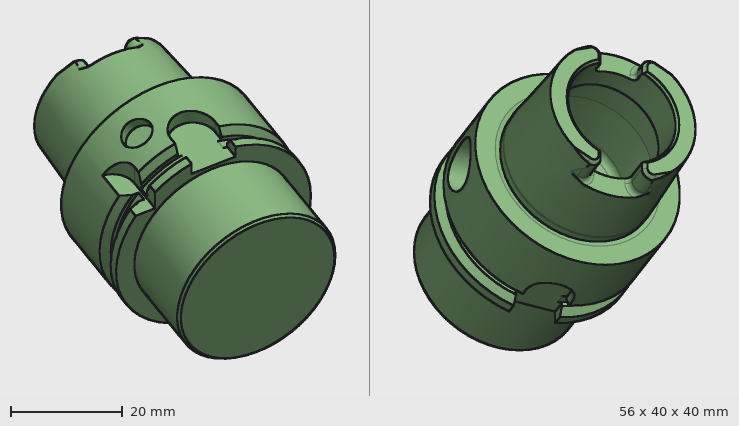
import cadquery as cq
import math


QUARTER_TURN = math.pi / 2

SHANK_LENGTH = 20.0
FLANGE_LENGTH = 20.0
NOSE_LENGTH = 16.0
FLANGE_END = SHANK_LENGTH + FLANGE_LENGTH
TOTAL_LENGTH = FLANGE_END + NOSE_LENGTH

GAUGE_RADIUS = 15.0
GAUGE_TO_FLANGE = 4.0
GAUGE_X = SHANK_LENGTH - GAUGE_TO_FLANGE
TAPER_LENGTH_PER_DIAMETER = 9.98
CONE_END = 18.4
NECK_START = 18.8
NECK_RADIUS = 15.05

FLANGE_RADIUS = 20.0
FACE_RELIEF_RADIUS = 16.1
FACE_RELIEF_ANGLE = 10.0
GROOVE_RADIUS = 17.4
GROOVE_FLOOR_START = 35.0
GROOVE_FLOOR_END = 37.0
GROOVE_SIDE_LENGTH = 1.0
GROOVE_SIDE_ANGLE = 60.0

NOSE_RADIUS = 32.5 / 2
NOSE_CHAMFER = 0.5

BORE_RADIUS = 21.0 / 2
BORE_CHAMFER = 0.5
BORE_END = 8.05
CHAMBER_RADIUS = 25.5 / 2
CHAMBER_ENTRY_ANGLE = 60.0
CHAMBER_END = 15.85
CHAMBER_TAPER = 10.0
CHAMBER_FILLET = 1.5
CHAMBER_FLOOR_RADIUS = 9.75
HOLE_RADIUS = 11.2 / 2
HOLE_CHAMFER = 0.5
HOLE_DEPTH = 10.0

SLOT_HALF_WIDTH = 8.05 / 2
UPPER_SLOT_DEPTH = 3.63
LOWER_SLOT_DEPTH = 6.0
SLOT_FLOOR_FILLET = 1.0
SLOT_END_CHAMFER = 0.75
SHOULDER_RADIUS = 1.83
SHOULDER_CENTER_Z = 11.05
SHOULDER_SLOPE = 25.0
SLOT_CUTTER_BASE_Z = 5.0

KEYWAY_RADIUS = 4.5
KEYWAY_CENTER_X = 32.5
KEYWAY_FLOOR = 17.0
NOTCH_WALL = 12.0
NOTCH_FLOOR = 12.0

RADIAL_HOLE_X = 27.0
INDEX_HOLE_DIAMETER = 6.0
INDEX_HOLE_ANGLE = 25.0
INDEX_HOLE_DEPTH = 2.35
CHIP_HOLE_DIAMETER = 10.0
CHIP_HOLE_ANGLE = -90.0
CHIP_HOLE_DEPTH = 4.6


def turned(profile):
    """Revolve a closed (x, radius) profile about the X axis."""
    return profile.close().revolve(360, (0, 0, 0), (1, 0, 0))


def cone_radius(x):
    """Radius of the shank cone at position x."""
    return GAUGE_RADIUS + (x - GAUGE_X) / (2 * TAPER_LENGTH_PER_DIAMETER)


def make_body():
    """Outer shape: shank cone, neck, flange with its groove, and nose."""
    relief_depth = (FACE_RELIEF_RADIUS - NECK_RADIUS) * math.tan(math.radians(FACE_RELIEF_ANGLE))
    side_drop = GROOVE_SIDE_LENGTH * math.tan(math.radians(GROOVE_SIDE_ANGLE))
    groove_side_radius = FLANGE_RADIUS - side_drop
    return turned(
        cq.Workplane("XY")
        .moveTo(0, 0)
        .lineTo(0, cone_radius(0))
        .lineTo(CONE_END, cone_radius(CONE_END))
        .lineTo(NECK_START, NECK_RADIUS)
        .lineTo(SHANK_LENGTH + relief_depth, NECK_RADIUS)
        .lineTo(SHANK_LENGTH, FACE_RELIEF_RADIUS)
        .lineTo(SHANK_LENGTH, FLANGE_RADIUS)
        .lineTo(GROOVE_FLOOR_START - GROOVE_SIDE_LENGTH, FLANGE_RADIUS)
        .lineTo(GROOVE_FLOOR_START, groove_side_radius)
        .lineTo(GROOVE_FLOOR_START, GROOVE_RADIUS)
        .lineTo(GROOVE_FLOOR_END, GROOVE_RADIUS)
        .lineTo(GROOVE_FLOOR_END, groove_side_radius)
        .lineTo(GROOVE_FLOOR_END + GROOVE_SIDE_LENGTH, FLANGE_RADIUS)
        .lineTo(FLANGE_END, FLANGE_RADIUS)
        .lineTo(FLANGE_END, NOSE_RADIUS)
        .lineTo(TOTAL_LENGTH - NOSE_CHAMFER, NOSE_RADIUS)
        .lineTo(TOTAL_LENGTH, NOSE_RADIUS - NOSE_CHAMFER)
        .lineTo(TOTAL_LENGTH, 0)
    )


def make_bore():
    """Hollow of the shank: bore, undercut chamber and blind hole."""
    entry_length = (CHAMBER_RADIUS - BORE_RADIUS) / math.tan(math.radians(CHAMBER_ENTRY_ANGLE))
    taper = math.radians(CHAMBER_TAPER)
    taper_end_radius = CHAMBER_FLOOR_RADIUS + CHAMBER_FILLET * math.cos(taper)
    taper_end = CHAMBER_END + (CHAMBER_RADIUS - taper_end_radius) / math.tan(taper)
    floor_x = taper_end + CHAMBER_FILLET * (1 - math.sin(taper))
    hole_end = floor_x + HOLE_DEPTH
    return turned(
        cq.Workplane("XY")
        .moveTo(0, 0)
        .lineTo(0, BORE_RADIUS + BORE_CHAMFER)
        .lineTo(BORE_CHAMFER, BORE_RADIUS)
        .lineTo(BORE_END, BORE_RADIUS)
        .lineTo(BORE_END + entry_length, CHAMBER_RADIUS)
        .lineTo(CHAMBER_END, CHAMBER_RADIUS)
        .lineTo(taper_end, taper_end_radius)
        .radiusArc((floor_x, CHAMBER_FLOOR_RADIUS), CHAMBER_FILLET)
        .lineTo(floor_x, HOLE_RADIUS + HOLE_CHAMFER)
        .lineTo(floor_x + HOLE_CHAMFER, HOLE_RADIUS)
        .lineTo(hole_end, HOLE_RADIUS)
        .lineTo(hole_end, 0)
    )


def slot_outline(workplane):
    """Slot section in (y, z): straight walls, rounded shoulders, then sloping flanks."""
    slope = math.radians(SHOULDER_SLOPE)
    center_y = SLOT_HALF_WIDTH + SHOULDER_RADIUS

    def shoulder_point(angle_from_z):
        y = center_y + SHOULDER_RADIUS * math.sin(angle_from_z)
        z = SHOULDER_CENTER_Z + SHOULDER_RADIUS * math.cos(angle_from_z)
        return y, z

    tangent_y, tangent_z = shoulder_point(slope)
    middle_y, middle_z = shoulder_point((slope - QUARTER_TURN) / 2)
    outer_y = FLANGE_RADIUS
    outer_z = tangent_z - (outer_y - tangent_y) * math.tan(slope)
    return (
        workplane
        .moveTo(-SLOT_HALF_WIDTH, SLOT_CUTTER_BASE_Z)
        .lineTo(SLOT_HALF_WIDTH, SLOT_CUTTER_BASE_Z)
        .lineTo(SLOT_HALF_WIDTH, SHOULDER_CENTER_Z)
        .threePointArc((middle_y, middle_z), (tangent_y, tangent_z))
        .lineTo(outer_y, outer_z)
        .lineTo(outer_y, FLANGE_RADIUS)
        .lineTo(-outer_y, FLANGE_RADIUS)
        .lineTo(-outer_y, outer_z)
        .lineTo(-tangent_y, tangent_z)
        .threePointArc((-middle_y, middle_z), (-SLOT_HALF_WIDTH, SHOULDER_CENTER_Z))
        .close()
    )


def make_slot_cutter(depth):
    """Slot of the given depth, with a filleted floor and chamfered edges at the shank end."""
    slot = slot_outline(cq.Workplane("YZ")).extrude(depth)
    slot = slot.faces(">X").edges().fillet(SLOT_FLOOR_FILLET)
    flare = (
        slot_outline(cq.Workplane("YZ"))
        .offset2D(SLOT_END_CHAMFER, "intersection")
        .extrude(SLOT_END_CHAMFER, taper=45)
    )
    return slot.union(flare)


def make_keyway_cutter(wall_y, floor_z):
    """Round-ended cutter above floor_z, open towards the nose, with one wall at wall_y."""
    return (
        cq.Workplane("XY", origin=(0, wall_y - KEYWAY_RADIUS, floor_z))
        .moveTo(FLANGE_END, KEYWAY_RADIUS)
        .lineTo(KEYWAY_CENTER_X, KEYWAY_RADIUS)
        .threePointArc((KEYWAY_CENTER_X - KEYWAY_RADIUS, 0), (KEYWAY_CENTER_X, -KEYWAY_RADIUS))
        .lineTo(FLANGE_END, -KEYWAY_RADIUS)
        .close()
        .extrude(FLANGE_RADIUS)
    )


def make_radial_hole(diameter, depth, angle_about_x):
    """Blind hole along a radius; angle 0 points to +Z and positive angles lean to -Y."""
    return (
        cq.Workplane("XY", origin=(RADIAL_HOLE_X, 0, FLANGE_RADIUS - depth))
        .circle(diameter / 2)
        .extrude(2 * depth)
        .rotate((0, 0, 0), (1, 0, 0), angle_about_x)
    )


upper_slot = make_slot_cutter(UPPER_SLOT_DEPTH)
lower_slot = make_slot_cutter(LOWER_SLOT_DEPTH).rotate((0, 0, 0), (1, 0, 0), 180)
upper_keyway = make_keyway_cutter(KEYWAY_RADIUS, KEYWAY_FLOOR)
lower_keyway = upper_keyway.rotate((0, 0, 0), (1, 0, 0), 180)

result = (
    make_body()
    .cut(make_bore())
    .cut(upper_slot)
    .cut(lower_slot)
    .cut(upper_keyway)
    .cut(lower_keyway)
    .cut(make_keyway_cutter(-NOTCH_WALL, NOTCH_FLOOR))
    .cut(make_radial_hole(INDEX_HOLE_DIAMETER, INDEX_HOLE_DEPTH, INDEX_HOLE_ANGLE))
    .cut(make_radial_hole(CHIP_HOLE_DIAMETER, CHIP_HOLE_DEPTH, CHIP_HOLE_ANGLE))
)